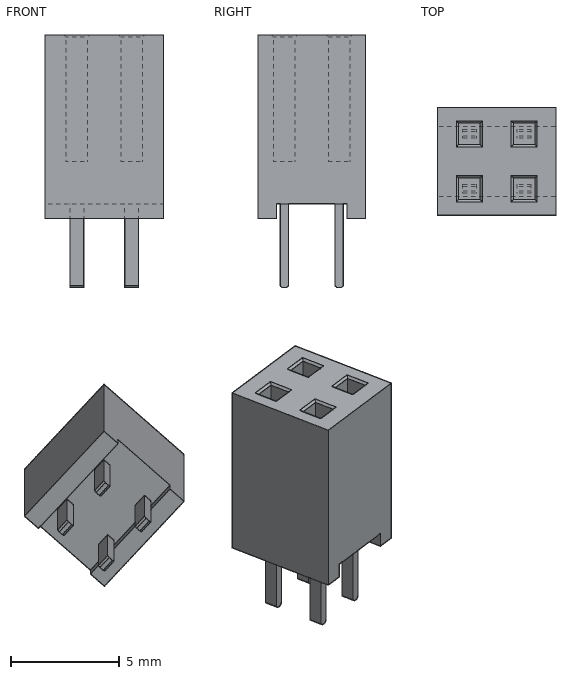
import cadquery as cq
import math

LENGTH_X = 5.49
WIDTH_Y = 5.0
TOTAL_HEIGHT = 11.7
PIN_LENGTH = 3.19
HOUSING_HEIGHT = TOTAL_HEIGHT - PIN_LENGTH

SLOT_WIDTH = 3.24
SLOT_HEIGHT = 0.69

PITCH = 2.54
CONTACTS_PER_SIDE = 2

SOCKET_SIDE = 1.01
SOCKET_DEPTH = 5.85
BEVEL_WIDTH = 0.1
BEVEL_DEPTH = 0.111

PIN_SIZE_X = 0.64
PIN_SIZE_Y = 0.4
PIN_TIP_CHAMFER = 0.1


def contact_grid(z):
    """Contact centres on the horizontal plane at height z."""
    return cq.Workplane("XY", origin=(0, 0, z)).rarray(
        PITCH, PITCH, CONTACTS_PER_SIDE, CONTACTS_PER_SIDE
    )


def housing():
    """Rectangular block standing on two feet, with the slot between them."""
    from_foot = (True, True, False)
    block = cq.Workplane("XY").box(LENGTH_X, WIDTH_Y, HOUSING_HEIGHT, centered=from_foot)
    slot = cq.Workplane("XY").box(LENGTH_X, SLOT_WIDTH, SLOT_HEIGHT, centered=from_foot)
    return block.cut(slot)


def sockets():
    """Square blind holes with a bevelled lead-in at the top face."""
    holes = contact_grid(HOUSING_HEIGHT).rect(SOCKET_SIDE, SOCKET_SIDE).extrude(-SOCKET_DEPTH)
    mouth_side = SOCKET_SIDE + 2 * BEVEL_WIDTH
    bevel_angle = math.degrees(math.atan2(BEVEL_WIDTH, BEVEL_DEPTH))
    lead_ins = (
        contact_grid(HOUSING_HEIGHT)
        .rect(mouth_side, mouth_side)
        .extrude(-BEVEL_DEPTH, taper=bevel_angle)
    )
    return holes.union(lead_ins)


def pins():
    """Flat pins hanging from the slot roof, tips chamfered on the two broad faces."""
    bars = (
        contact_grid(-PIN_LENGTH)
        .rect(PIN_SIZE_X, PIN_SIZE_Y)
        .extrude(PIN_LENGTH + SLOT_HEIGHT)
    )
    return bars.faces("<Z").edges("|X").chamfer(PIN_TIP_CHAMFER)


result = housing().cut(sockets()).union(pins())